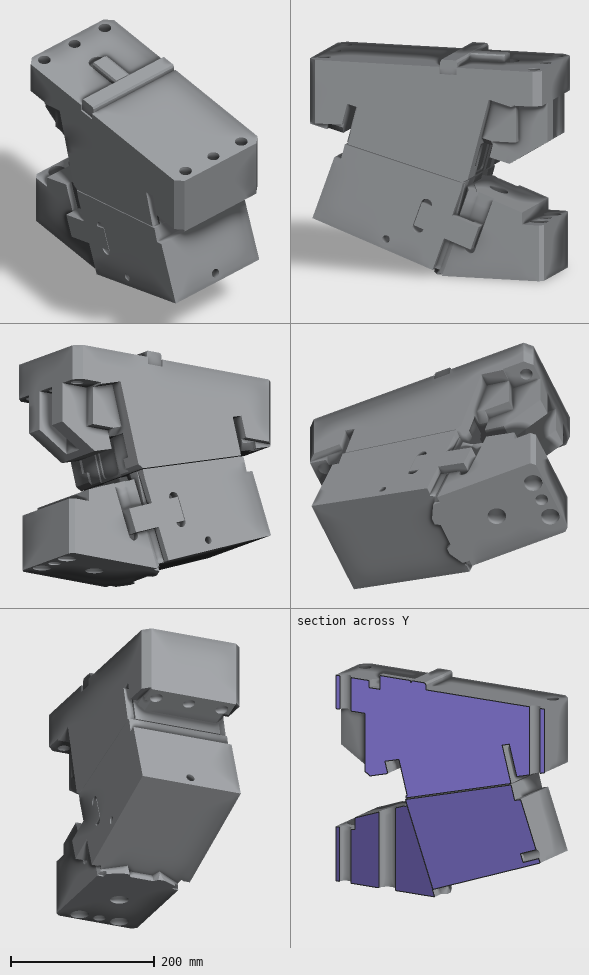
import cadquery as cq
import math


length = 340.0
width = 150.0
height = 309.0
cam_angle = 15.0
slide_angle = 20.0
far = 408.0

plate_top = 299.2
plate_chamfer = 10.5
plate_left_bottom = 250.0
plate_right_bottom = 209.0
bar_left, bar_width, bar_length = 122.0, 24.8, 145.0
key_left, key_width = 71.5, 25.0
key_slot_left = 54.0
key_floor = 289.0
key_chamfer, key_chamfer_height = 1.7, 3.5
bolt_radius = 9.0
dowel_radius = 8.5
left_hole_x, left_bolt_pitch = 15.3, 108.8
right_hole_x, right_bolt_pitch = 324.0, 100.0

cam_start, cam_end = 138.7, 319.3
cam_core_end = 323.5
cam_core_width = 129.2
cam_bottom, cam_block_top = 102.7, 210.8
cam_toe_bevel = 6.5
slot_top = 158.0
right_slot_end = 334.5
tongue_bottom = 111.2
tongue_width = 128.5
tongue_bevel, tongue_bevel_length = 9.5, 22.0

lug_width = 79.5
lug_end = 125.5
lug_bottom = 140.5
lug_nose_z = 194.5
lug_tip_x = 55.8
lug_notch_width, lug_notch_depth = 30.0, 46.5
web_width, web_left, web_bottom = 110.0, 41.5, 193.8
web_relief_top = 167.5
side_pocket_edge, side_pocket_peak = 247.5, 256.5
recess_depth = 4.0
recess_width, recess_low_width = web_width, 88.5
recess_step_z = 155.0
spring_width, spring_bottom, spring_radius, spring_depth = 37.5, 106.0, 6.8, 2.7
channel_width, channel_depth = 48.3, 6.8

base_width = 123.5
base_chamfer = 5.8
base_step_x, base_step_z = 30.3, 79.2
base_slope_z = 96.2
base_foot_x = 168.5
base_shoulder = 138.7
vee_edge, vee_edge_width = 145.2, 118.3
vee_angle = 25.5
vee_flat_width = 48.3
vee_groove_floor, vee_groove_width = 151.5, 35.5
vee_plate = 13.5
vee_plate_bottom = -48.3
vee_plate_drop = 1.0
groove_left, groove_width, groove_floor_width = 106.8, 15.3, 104.7
groove_bottom = -4.8
flank_end = 132.3
base_bolt_radius, base_bolt_pitch = 13.0, 60.5
slope_bolt_x = 83.5

slider_gap = 1.5
slider_front, slider_end, slider_bottom = 151.3, 338.5, -44.2
slider_lip_width, slider_relief_width, slider_relief = 131.2, 123.0, 153.0
slider_ledge = 79.0
slider_nose = 144.0
slider_ledge_start = 323.0
arm_left, arm_right = 109.8, 198.5
arm_bottom, arm_top = 4.8, 39.5
relief_radius, relief_depth, relief_u = 8.0, 13.5, 191.5
side_hole_radius, side_hole_x, side_hole_z, side_hole_depth = 5.5, 225.5, 50.3, 20.5
face_hole_radius, face_hole_x, face_hole_depth = 6.0, 328.8, 27.2


def direction(angle):
    return math.cos(math.radians(angle)), math.sin(math.radians(angle))


def side_plane(angle=0.0):
    """Tilted XZ plane; its normal points to -Y."""
    c, s = direction(angle)
    return cq.Plane(origin=(0, 0, 0), xDir=(c, 0, s), normal=(0, -1, 0))


def plan_plane(angle):
    """Tilted XY plane; local x runs up the slope and local y is Y."""
    c, s = direction(angle)
    return cq.Plane(origin=(0, 0, 0), xDir=(c, 0, s), normal=(-s, 0, c))


def end_plane(angle, distance):
    """Plane across the slope at a distance along it; local x is Y."""
    c, s = direction(angle)
    return cq.Plane(origin=(c * distance, 0, s * distance), xDir=(0, 1, 0), normal=(c, 0, s))


def to_xz(along, across, angle):
    c, s = direction(angle)
    return along * c - across * s, along * s + across * c


def side_prism(points, thickness, angle=0.0):
    """Outline in the tilted XZ plane, extruded evenly about Y = 0."""
    return cq.Workplane(side_plane(angle)).polyline(points).close().extrude(thickness / 2, both=True)


def side_rect(x0, x1, z0, z1, thickness, angle=0.0):
    return side_prism([(x0, z0), (x1, z0), (x1, z1), (x0, z1)], thickness, angle)


def both_sides(body):
    return body.union(body.mirror("XZ"))


def vertical_holes(points, radius):
    return cq.Workplane("XY").pushPoints(points).circle(radius).extrude(far)


def on_cam_line(along, z):
    """Point at height z on the line a given distance along the cam direction."""
    c, s = direction(cam_angle)
    return (along - z * s) / c, z


def driver_blank():
    """Plate, cam block, web, lug and right-hand tongue."""
    plate = side_rect(0, length, plate_right_bottom, plate_top, width)
    side_pocket = side_prism([
        (0, 0), on_cam_line(cam_start, 0), on_cam_line(cam_start, side_pocket_peak),
        (web_left, side_pocket_edge), (web_left, plate_left_bottom), (0, plate_left_bottom),
    ], width)
    cam_outline = [
        (cam_start, cam_block_top), (cam_start, cam_bottom + cam_toe_bevel),
        (cam_start + cam_toe_bevel, cam_bottom), (cam_end, cam_bottom), (cam_end, slot_top),
    ]
    cam_block = side_prism(cam_outline, width, cam_angle)
    cam_core = side_rect(cam_start + cam_toe_bevel, cam_core_end, cam_bottom, slot_top,
                         cam_core_width, cam_angle)
    web = side_prism([
        (web_left, web_bottom), on_cam_line(cam_start, web_bottom),
        on_cam_line(cam_start, plate_top), (web_left, plate_top),
    ], web_width)
    web_roof = side_rect(lug_end, cam_start, slot_top, cam_block_top, web_width, cam_angle)
    lug_tip = to_xz(lug_end, lug_bottom, cam_angle)
    tip_z = lug_tip[1] - (lug_tip[0] - lug_tip_x) * math.tan(math.radians(cam_angle))
    lug = side_prism([
        (0, plate_top), (0, lug_nose_z), (lug_tip_x, tip_z), lug_tip,
        on_cam_line(lug_end, plate_top),
    ], lug_width)
    driver = plate.cut(side_pocket).union(cam_block).union(cam_core).union(web).union(web_roof).union(lug)
    return driver.union(driver_tongue())


def driver_tongue():
    """Sloped foot under the right end of the plate, with its lower edges bevelled beside the slot."""
    tongue = side_prism([
        on_cam_line(right_slot_end, plate_right_bottom),
        to_xz(right_slot_end, tongue_bottom, cam_angle),
        (length, (tongue_bottom + length * direction(cam_angle)[1]) / direction(cam_angle)[0]),
        (length, plate_right_bottom),
    ], tongue_width)
    bevel_top = tongue_bottom + tongue_bevel
    bevel = (cq.Workplane(end_plane(cam_angle, right_slot_end))
             .polyline([(-tongue_width / 2, bevel_top), (-tongue_width / 2, tongue_bottom),
                        (-tongue_width / 2 + tongue_bevel, tongue_bottom)])
             .close().extrude(tongue_bevel_length))
    return tongue.cut(both_sides(bevel))


def driver_slots():
    """Slots beside the cam block, the lug notch and the recess in the cam face."""
    left_slot = (cq.Workplane(end_plane(cam_angle, lug_end))
                 .polyline([(-width / 2, 0), (width / 2, 0), (width / 2, web_relief_top),
                            (web_width / 2, web_relief_top), (lug_width / 2, slot_top),
                            (-lug_width / 2, slot_top), (-web_width / 2, web_relief_top),
                            (-width / 2, web_relief_top)])
                 .close().extrude(cam_start - lug_end))
    right_slot = side_rect(cam_core_end, right_slot_end, 0, slot_top, width, cam_angle)
    edge_slot = side_rect(cam_end, right_slot_end, 0, slot_top, width, cam_angle).cut(
        side_rect(cam_end, right_slot_end, 0, slot_top, cam_core_width, cam_angle))
    notch = cq.Workplane("XY").box(lug_notch_depth, lug_notch_width, plate_left_bottom,
                                   centered=(False, True, False))
    low_recess = side_rect(cam_start, cam_start + recess_depth, 0, slot_top, recess_low_width, cam_angle)
    high_recess = side_rect(cam_start, cam_start + recess_depth, 0, slot_top, recess_width, cam_angle)
    high_recess = high_recess.intersect(side_rect(0, length, recess_step_z, height, width))
    return left_slot.union(right_slot).union(edge_slot).union(notch).union(low_recess).union(high_recess)


def spring_seat():
    """Channel up the middle of the cam face with a round-bottomed pocket inside it."""
    channel = side_rect(cam_start, cam_start + channel_depth, 0, slot_top, channel_width, cam_angle)
    pocket_end = cam_start + channel_depth + spring_depth
    half, radius = spring_width / 2, spring_radius
    pocket = (cq.Workplane(end_plane(cam_angle, cam_start))
              .moveTo(-half, slot_top).lineTo(-half, spring_bottom + radius)
              .radiusArc((-half + radius, spring_bottom), -radius)
              .lineTo(half - radius, spring_bottom)
              .radiusArc((half, spring_bottom + radius), -radius)
              .lineTo(half, slot_top).close().extrude(pocket_end - cam_start))
    return channel.union(pocket)


def plate_holes():
    left_bolts = vertical_holes([(left_hole_x, s * left_bolt_pitch / 2) for s in (-1, 1)], bolt_radius)
    right_bolts = vertical_holes([(right_hole_x, s * right_bolt_pitch / 2) for s in (-1, 1)], bolt_radius)
    dowels = vertical_holes([(left_hole_x, 0), (right_hole_x, 0)], dowel_radius)
    return left_bolts.union(right_bolts).union(dowels)


def key_slots():
    """Cross slot for the bar and a round-ended slot for the key."""
    radius = key_width / 2
    cross = side_rect(bar_left, bar_left + bar_width, key_floor, plate_top, width)
    straight = side_rect(key_slot_left + radius, bar_left, key_floor, plate_top, key_width)
    end = cq.Workplane("XY", origin=(key_slot_left + radius, 0, key_floor)).circle(radius).extrude(
        plate_top - key_floor)
    return cross.union(straight).union(end)


def driver_keys():
    """Cross bar and key standing in their slots, with chamfered top edges."""
    bar = side_rect(bar_left, bar_left + bar_width, key_floor, height, bar_length)
    key = side_rect(key_left, bar_left, key_floor, height, key_width)
    bar = bar.edges(">Z and |Y").chamfer(key_chamfer_height, key_chamfer)
    key = key.edges(">Z and |X").chamfer(key_chamfer_height, key_chamfer)
    return bar.union(key)


def make_driver():
    corners = cq.Workplane("XY").rect(length, width).extrude(far)
    corners = corners.edges("|Z").chamfer(plate_chamfer).translate((length / 2, 0, 0))
    driver = driver_blank().intersect(corners).cut(driver_slots()).cut(spring_seat())
    return driver.cut(plate_holes()).cut(key_slots()).union(driver_keys())


vee_peak = vee_edge + (vee_edge_width - vee_flat_width) / 2 * math.tan(math.radians(vee_angle))
vee_half = [
    (vee_edge, vee_edge_width / 2), (vee_peak, vee_flat_width / 2),
    (vee_groove_floor, vee_groove_width / 2),
]
c20, s20 = direction(slide_angle)
base_top = base_slope_z * c20 - base_step_x * s20


def mirrored_prism(half, z0):
    """Outline in (u, y), given for y > 0 and mirrored in y, extruded up the v direction."""
    other = [(u, -y) for u, y in reversed(half)]
    return (cq.Workplane(plan_plane(slide_angle)).workplane(offset=z0)
            .polyline(half + other).close().extrude(far))


def base_flanks():
    """Side grooves with a rounded lower end, open at the right above the arms."""
    radius = groove_width / 2
    arc_v = groove_bottom + radius
    groove = (cq.Workplane(side_plane(slide_angle))
              .moveTo(groove_left, base_top).lineTo(groove_left, arc_v)
              .threePointArc((groove_left + radius, groove_bottom), (groove_left + groove_width, arc_v))
              .lineTo(groove_left + groove_width, base_top).close().extrude(width / 2))
    groove = groove.cut(side_rect(0, length, -far, far, groove_floor_width))
    flank = (cq.Workplane(plan_plane(slide_angle)).workplane(offset=arm_bottom)
             .polyline([(groove_left, -groove_floor_width / 2), (flank_end, -groove_floor_width / 2),
                        (vee_edge, -vee_edge_width / 2), (vee_edge, -width / 2),
                        (groove_left, -width / 2)])
             .close().extrude(far))
    return both_sides(groove.union(flank))


def vee_plate_step():
    """Thin layer that sets the top of the V plate just below the top of the base."""
    half = [(far, base_width / 2), (vee_edge - vee_plate, base_width / 2)]
    half += [(u - vee_plate, y) for u, y in vee_half[:2]]
    return mirrored_prism(half, base_top - vee_plate_drop)


def vee_foot_cut():
    """Clears the outer edges of the V plate below the slider."""
    cut = side_rect(base_shoulder, far, -far, vee_plate_bottom, width, slide_angle)
    return cut.cut(side_rect(0, length, -far, far, groove_floor_width))


def make_base():
    slope_end_z = base_slope_z + (base_foot_x - base_step_x) * s20 / c20
    base = side_prism([
        (0, 0), (base_foot_x, 0), (base_foot_x, slope_end_z), (base_step_x, base_slope_z),
        (base_step_x, base_step_z), (0, base_step_z),
    ], base_width)
    base = base.edges("|Z and <X").chamfer(base_chamfer)
    plan = mirrored_prism([(-far, base_width / 2), (base_shoulder, base_width / 2)] + vee_half, -far / 2)
    base = base.intersect(plan).cut(base_flanks())
    base = base.cut(vee_plate_step()).cut(vee_foot_cut())
    bolts = [(left_hole_x, s * base_bolt_pitch / 2) for s in (-1, 1)] + [(slope_bolt_x, 0)]
    return base.cut(vertical_holes(bolts, base_bolt_radius)).cut(
        vertical_holes([(left_hole_x, 0)], bolt_radius))


def slider_blank():
    top = cam_bottom - slider_gap
    block = side_rect(0, slider_end, slider_bottom, far, width, slide_angle)
    below_cam = side_prism([
        (slider_nose, -far), (2 * far, -far), (2 * far, slider_ledge), (slider_ledge_start, slider_ledge),
        (slider_ledge_start, top), (slider_nose, top),
    ], width, cam_angle)
    return block.intersect(below_cam)


def slider_front_cut():
    """V groove over the end of the base, stepped back to the outer lips."""
    half = [(0, width / 2), (slider_front, width / 2), (slider_front, slider_lip_width / 2),
            (slider_relief, slider_relief_width / 2)] + vee_half
    return mirrored_prism(half, -far / 2)


def slider_arms():
    """Keeper arms on both sides, hooked into the grooves of the base."""
    arm = side_rect(arm_left, arm_right, arm_bottom, arm_top, width, slide_angle)
    arm = arm.cut(side_rect(0, length, 0, far, base_width))
    hook = side_rect(arm_left, groove_left + groove_width, arm_bottom, arm_top, base_width, slide_angle)
    hook = hook.cut(side_rect(0, length, 0, far, groove_floor_width))
    return arm.union(hook)


def arm_reliefs():
    """Round-ended slots that relieve the corners where the arms end in the slider."""
    cut = (cq.Workplane(side_plane(slide_angle)).workplane(offset=width / 2 - relief_depth)
           .center(relief_u, (arm_bottom + arm_top) / 2)
           .slot2D(arm_top - arm_bottom + 2 * relief_radius, 2 * relief_radius, 90)
           .extrude(relief_depth))
    return both_sides(cut)


def slider_holes():
    side = (cq.Workplane(side_plane()).workplane(offset=width / 2 - side_hole_depth)
            .center(side_hole_x, side_hole_z).circle(side_hole_radius).extrude(side_hole_depth))
    face_v = (slider_end * c20 - face_hole_x) / s20
    face = (cq.Workplane(end_plane(slide_angle, slider_end)).center(0, face_v)
            .circle(face_hole_radius).extrude(-face_hole_depth))
    return both_sides(side).union(face)


def make_slider():
    slider = slider_blank().cut(slider_front_cut()).cut(arm_reliefs()).union(slider_arms())
    return slider.cut(slider_holes())


driver = make_driver()
slider = make_slider()
base = make_base()
result = cq.Compound.makeCompound([driver.solids().val(), slider.solids().val(), base.solids().val()])